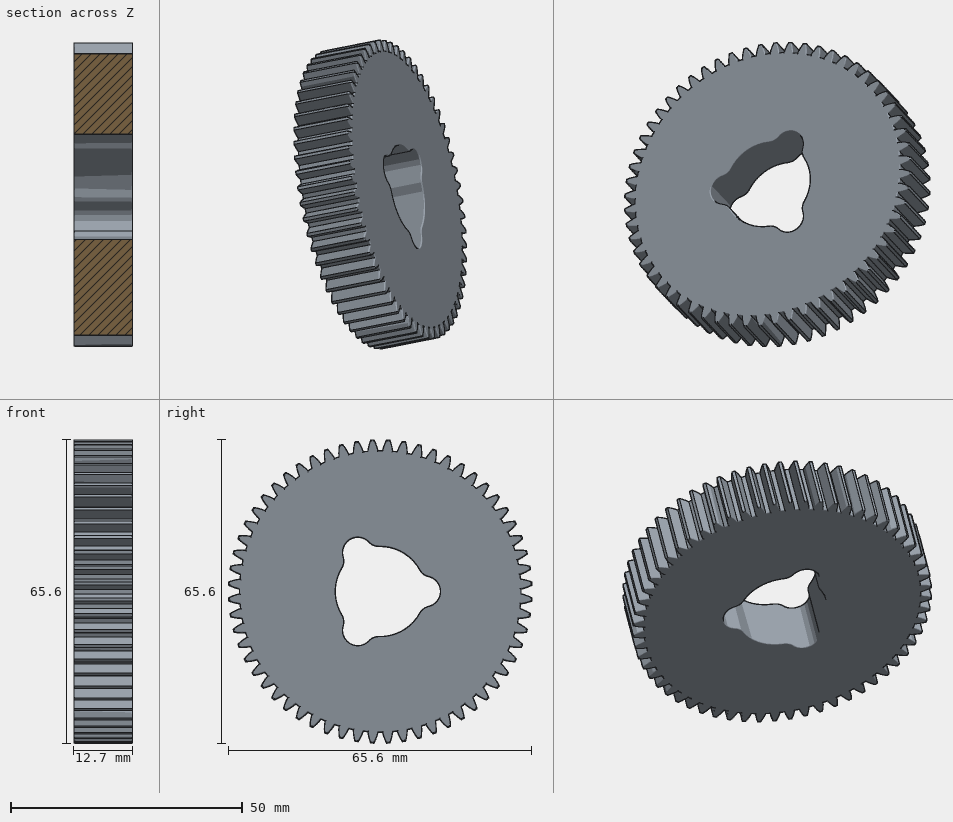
import cadquery as cq
import math

OUTER_SIZE = 65.55
WIDTH = 12.7
TOOTH_COUNT = 60
PRESSURE_ANGLE = math.radians(20)
ADDENDUM = 1.0
DEDENDUM = 1.25
TOOTH_THINNING = 0.12
EDGE_ROUNDING = 0.25

BORE_RADIUS = 9.7
LOBE_COUNT = 3
LOBE_RADIUS = 3.3
LOBE_REACH = 13.0
BLEND_RADIUS = 2.95

pitch_ratio = TOOTH_COUNT / 2
base_ratio = pitch_ratio * math.cos(PRESSURE_ANGLE)
tip_ratio = pitch_ratio + ADDENDUM
root_ratio = pitch_ratio - DEDENDUM
flank_ratio = (root_ratio + tip_ratio) / 2


def involute(angle):
    return math.tan(angle) - angle


def half_tooth_angle(ratio):
    """Angle from the centre line of a tooth to its flank, at a radius given in modules."""
    thickness_at_pitch = math.pi / 2 - TOOTH_THINNING
    half_angle_at_pitch = thickness_at_pitch / (2 * pitch_ratio)
    local_pressure_angle = math.acos(base_ratio / ratio)
    return half_angle_at_pitch + involute(PRESSURE_ANGLE) - involute(local_pressure_angle)


tooth_pitch = 2 * math.pi / TOOTH_COUNT
nearest_corner_angle = tooth_pitch / 2 - half_tooth_angle(tip_ratio)
module = OUTER_SIZE / (2 * tip_ratio * math.cos(nearest_corner_angle))


def polar(radius, angle):
    return radius * math.cos(angle), radius * math.sin(angle)


def face_plane():
    """The -X face of the gear; local axes are Y and Z."""
    return cq.Workplane("YZ", origin=(-WIDTH / 2, 0, 0))


def half_blank():
    """Toothed disc from the -X face to the middle plane."""
    root_radius = root_ratio * module
    flank_radius = flank_ratio * module
    tip_radius = tip_ratio * module
    root_half = half_tooth_angle(root_ratio)
    flank_half = half_tooth_angle(flank_ratio)
    tip_half = half_tooth_angle(tip_ratio)

    outline = face_plane().moveTo(*polar(root_radius, tooth_pitch / 2 - root_half))
    for index in range(TOOTH_COUNT):
        tooth = (index + 0.5) * tooth_pitch
        next_gap = tooth + tooth_pitch / 2
        next_tooth = tooth + tooth_pitch
        outline = (
            outline
            .threePointArc(polar(flank_radius, tooth - flank_half), polar(tip_radius, tooth - tip_half))
            .threePointArc(polar(tip_radius, tooth), polar(tip_radius, tooth + tip_half))
            .threePointArc(polar(flank_radius, tooth + flank_half), polar(root_radius, tooth + root_half))
            .threePointArc(polar(root_radius, next_gap), polar(root_radius, next_tooth - root_half))
        )
    return outline.close().extrude(WIDTH / 2)


def half_bore():
    """Bore volume from the -X face to the middle plane."""
    lobe_offset = LOBE_REACH - LOBE_RADIUS
    blend_offset = BORE_RADIUS + BLEND_RADIUS
    lobe_to_blend = LOBE_RADIUS + BLEND_RADIUS
    blend_angle = math.acos(
        (blend_offset**2 + lobe_offset**2 - lobe_to_blend**2) / (2 * blend_offset * lobe_offset)
    )
    blend_y, blend_z = polar(blend_offset, blend_angle)
    lobe_share = LOBE_RADIUS / lobe_to_blend
    lobe_end_y = lobe_offset + (blend_y - lobe_offset) * lobe_share
    lobe_end_z = blend_z * lobe_share
    lobe_end_radius = math.hypot(lobe_end_y, lobe_end_z)
    lobe_end_angle = math.atan2(lobe_end_z, lobe_end_y)

    lobe_pitch = 2 * math.pi / LOBE_COUNT
    outline = face_plane().moveTo(*polar(lobe_end_radius, -lobe_end_angle))
    for index in range(LOBE_COUNT):
        lobe = index * lobe_pitch
        next_lobe = lobe + lobe_pitch
        outline = (
            outline
            .threePointArc(polar(LOBE_REACH, lobe), polar(lobe_end_radius, lobe + lobe_end_angle))
            .tangentArcPoint(polar(BORE_RADIUS, lobe + blend_angle), relative=False)
            .tangentArcPoint(polar(BORE_RADIUS, next_lobe - blend_angle), relative=False)
            .tangentArcPoint(polar(lobe_end_radius, next_lobe - lobe_end_angle), relative=False)
        )
    return outline.close().extrude(WIDTH / 2)


def round_bore_edge(body):
    bore_edge = body.faces("<X").val().innerWires()[0]
    return body.newObject(bore_edge.Edges()).fillet(EDGE_ROUNDING)


half_disc = half_blank().faces("<X").edges().fillet(EDGE_ROUNDING)
half_gear = round_bore_edge(half_disc.cut(half_bore()))
result = half_gear.mirror("YZ", union=True)